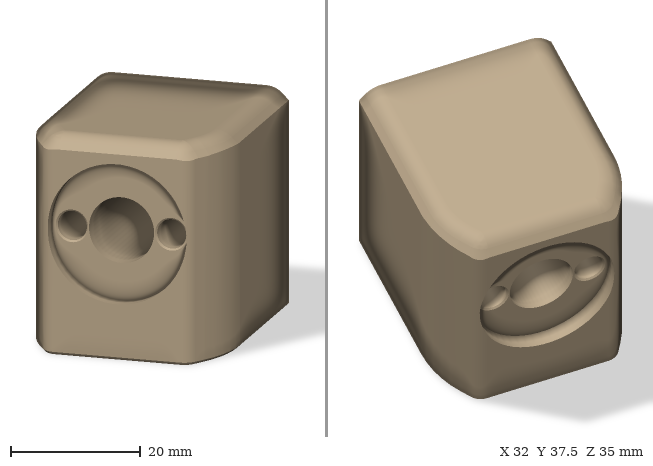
import cadquery as cq
import math

WIDTH = 32.0
LENGTH = 37.5
HEIGHT = 35.0

SLANT_ANGLE = 32.0
FRONT_WIDTH = 23.02
WALL_SIDE_RADIUS = 18.0
WALL_FRONT_RADIUS = 2.5

BEVEL = 2.1
BEVEL_SIDE_RADIUS = 14.5
BEVEL_FRONT_RADIUS = 3.75
TOP_BLEND_RADIUS = 3.75
CROWN_MARGIN = 1.5

BOTTOM_CHAMFER = 0.5

HOLE_HEIGHT = 20.15
RECESS_DIAMETER = 22.4
RECESS_DEPTH = 2.5
BORE_DIAMETER = 10.5
BOLT_DIAMETER = 4.7
BOLT_SPACING = 16.0
BOLT_CHAMFER = 0.25

EDGE_TOLERANCE = 0.005


def plan_block(side_radius, front_radius, margin=0.0):
    """Extrude the plan outline, offset outwards by margin, to the full height."""
    slant = math.radians(SLANT_ANGLE)
    half_width = WIDTH / 2 + margin
    corner_shift = margin * math.tan(math.pi / 4 - slant / 2)
    half_front = FRONT_WIDTH / 2 + corner_shift
    knee_y = -margin + (half_width - half_front) / math.tan(slant)
    block = (
        cq.Workplane("XY")
        .polyline([
            (-half_width, LENGTH + margin),
            (-half_width, knee_y),
            (-half_front, -margin),
            (half_front, -margin),
            (half_width, knee_y),
            (half_width, LENGTH + margin),
        ])
        .close()
        .extrude(HEIGHT)
    )

    def upright_edges(x, y):
        return cq.selectors.BoxSelector(
            (-x - EDGE_TOLERANCE, y - EDGE_TOLERANCE, 0),
            (x + EDGE_TOLERANCE, y + EDGE_TOLERANCE, HEIGHT),
        )

    block = block.edges("|Z").edges(upright_edges(half_width, knee_y)).fillet(side_radius + margin)
    return block.edges("|Z").edges(upright_edges(half_front, -margin)).fillet(front_radius + margin)


def crown_blank():
    """Oversized block carrying the bevel and the blend into the flat top."""
    blank = plan_block(BEVEL_SIDE_RADIUS, BEVEL_FRONT_RADIUS, CROWN_MARGIN)
    blank = blank.faces(">Z").edges("not >Y").chamfer(BEVEL + CROWN_MARGIN)
    return blank.faces(">Z").edges("not >Y").fillet(TOP_BLEND_RADIUS)


def y_cylinder(diameter, length, x=0.0):
    """Cylinder running back from the front face at hole height."""
    return (
        cq.Workplane("XZ")
        .center(x, HOLE_HEIGHT)
        .circle(diameter / 2)
        .extrude(-length)
    )


def bolt_hole(x):
    """Through hole with a countersunk rim on the recess floor."""
    hole = y_cylinder(BOLT_DIAMETER, LENGTH, x)
    rim = (
        cq.Workplane("XZ", origin=(0, RECESS_DEPTH, 0))
        .center(x, HOLE_HEIGHT)
        .circle(BOLT_DIAMETER / 2 + BOLT_CHAMFER)
        .extrude(-BOLT_CHAMFER, taper=45)
    )
    return hole.union(rim)


body = plan_block(WALL_SIDE_RADIUS, WALL_FRONT_RADIUS)
body = body.faces("<Z").edges("not >Y").chamfer(BOTTOM_CHAMFER)
body = body.intersect(crown_blank())

body = body.cut(y_cylinder(RECESS_DIAMETER, RECESS_DEPTH))
body = body.cut(y_cylinder(BORE_DIAMETER, LENGTH))
for side in (-1, 1):
    body = body.cut(bolt_hole(side * BOLT_SPACING / 2))

result = body